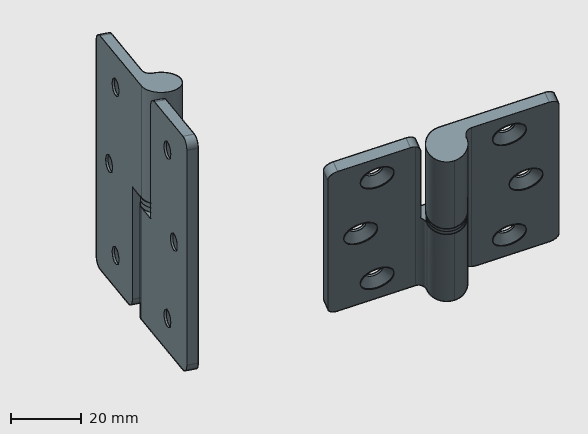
import cadquery as cq
import math

hinge_width = 70.0
hinge_height = 75.0
knuckle_diameter = 12.0

leaf_thickness = 3.5
corner_radius = 3.0
knuckle_clearance = 1.0

hole_diameter = 5.2
end_hole_x = 20.0
middle_hole_x = 25.0
end_hole_z = 27.0
countersink_diameter = 10.2
countersink_angle = 90.0
plain_hole_depth = 0.7

washer_count = 2
washer_thickness = 1.5
washer_diameter = 11.8

half_width = hinge_width / 2
half_height = hinge_height / 2
knuckle_radius = knuckle_diameter / 2
face_y = -knuckle_radius
back_y = face_y + leaf_thickness
fillet_radius = -back_y
fillet_start_x = knuckle_radius + fillet_radius
free_edge_x = knuckle_radius + knuckle_clearance
knuckle_end_z = washer_count * washer_thickness / 2
hole_radius = hole_diameter / 2
countersink_radius = countersink_diameter / 2
cone_depth = (countersink_radius - hole_radius) / math.tan(math.radians(countersink_angle / 2))
cone_start_y = face_y + plain_hole_depth
cone_end_y = cone_start_y + cone_depth


def leaf_section():
    """Plate and knuckle swept over the full height, with the plate reaching towards -X."""
    return (
        cq.Workplane("XY", origin=(0, 0, -half_height))
        .moveTo(-half_width, face_y)
        .lineTo(0, face_y)
        .threePointArc((knuckle_radius, 0), (0, knuckle_radius))
        .radiusArc((-knuckle_radius, 0), -knuckle_radius)
        .radiusArc((-fillet_start_x, back_y), fillet_radius)
        .lineTo(-half_width, back_y)
        .close()
        .extrude(hinge_height)
    )


def front_block(x_min, x_max, z_min, z_max):
    """Rectangle in the XZ plane, as deep as the knuckle."""
    return (
        cq.Workplane("XZ", origin=(0, knuckle_radius, 0))
        .center((x_min + x_max) / 2, (z_min + z_max) / 2)
        .rect(x_max - x_min, z_max - z_min)
        .extrude(knuckle_diameter)
    )


def leaf_outline():
    """Front outline of a leaf: rounded plate plus the square-ended knuckle area."""
    plate = front_block(-half_width, -free_edge_x, -half_height, half_height)
    plate = plate.edges("|Y").fillet(corner_radius)
    plate_overlap_x = -free_edge_x - 2 * corner_radius
    knuckle_area = front_block(plate_overlap_x, knuckle_radius, knuckle_end_z, half_height)
    return plate.union(knuckle_area)


def screw_hole(x, z):
    """Straight hole at the mounting face, a cone, then a straight recess for the screw head."""
    return (
        cq.Workplane("XY")
        .moveTo(0, face_y)
        .lineTo(hole_radius, face_y)
        .lineTo(hole_radius, cone_start_y)
        .lineTo(countersink_radius, cone_end_y)
        .lineTo(countersink_radius, back_y)
        .lineTo(0, back_y)
        .close()
        .revolve(360, (0, 0), (0, 1))
        .translate((x, 0, z))
    )


def make_leaf():
    """Left leaf, carrying the upper knuckle, with one hole at mid-height and one near each end."""
    leaf = leaf_section().intersect(leaf_outline())
    for x, z in [(-end_hole_x, end_hole_z), (-middle_hole_x, 0), (-end_hole_x, -end_hole_z)]:
        leaf = leaf.cut(screw_hole(x, z))
    return leaf


def make_washer(bottom_z):
    """Plain disc on the hinge axis."""
    return (
        cq.Workplane("XY", origin=(0, 0, bottom_z))
        .circle(washer_diameter / 2)
        .extrude(washer_thickness)
    )


left_leaf = make_leaf()
right_leaf = left_leaf.rotate((0, 0, 0), (0, 1, 0), 180)
washers = [make_washer(-knuckle_end_z + i * washer_thickness) for i in range(washer_count)]

result = cq.Compound.makeCompound(
    [
        left_leaf.solids().val(),
        right_leaf.solids().val(),
        *[washer.val() for washer in washers],
    ]
)